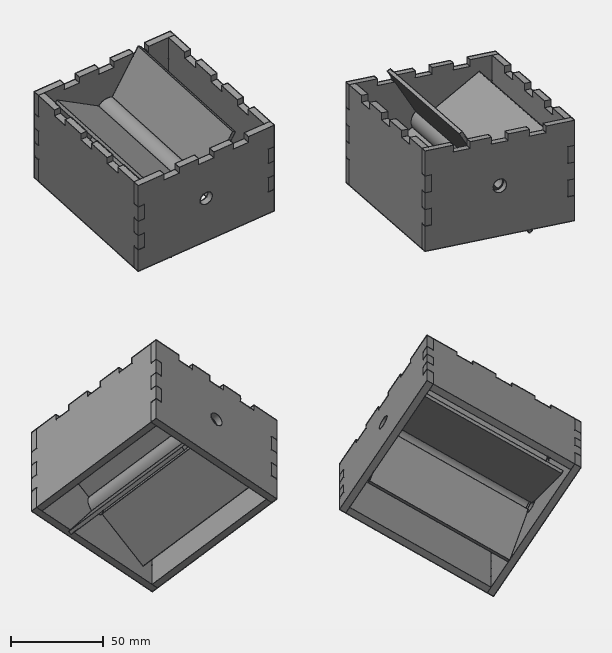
import cadquery as cq
import math

BOX_X = 98.0
BOX_Y = 90.0
BOX_Z = 60.0
PANEL = 4.0

SLOT = 10.0
FINGERS = 2
FINGER_PITCH = 2 * SLOT
FINGER_GAP = 0.2
NOTCHES = 3
END_PITCH = 24.8
SIDE_PITCH = 22.8

BORE_D = 8.0
HUB_D = 15.4
BLADES = 4
BLADE_ANGLE = 360 / BLADES
BLADE_THICK = 2.2
WHEEL_HEIGHT = 69.0
WHEEL_TILT = 58.1
WHEEL_GAP = 1.0

WHEEL_START = -BOX_X / 2 + PANEL + WHEEL_GAP
WHEEL_LENGTH = BOX_X - 2 * PANEL - WHEEL_GAP

tilt = math.radians(WHEEL_TILT)
BLADE_REACH = (WHEEL_HEIGHT / 2 - BLADE_THICK / 2 * math.cos(tilt)) / math.sin(tilt)


def spaced(count, pitch):
    """Positions of evenly spaced features centred on zero."""
    return [(i - (count - 1) / 2) * pitch for i in range(count)]


END_PANEL_Y = spaced(2, BOX_Y - PANEL)
SIDE_PANEL_X = spaced(2, BOX_X - PANEL)
FINGER_Z = spaced(FINGERS, FINGER_PITCH)
NOTCH_Z = (BOX_Z - PANEL) / 2


def block(size, place):
    """Box of the given size centred on the given place."""
    return cq.Workplane("XY").box(*size).translate(place)


def end_panel(y):
    """Panel in the XZ plane, with fingers reaching through the side panels."""
    panel = block((BOX_X - 2 * PANEL, PANEL, BOX_Z), (0, y, 0))
    for x in SIDE_PANEL_X:
        for z in FINGER_Z:
            gap = FINGER_GAP if z == FINGER_Z[0] else 0
            panel = panel.union(block((PANEL, PANEL, SLOT - gap), (x, y, z + gap / 2)))
    for x in spaced(NOTCHES, END_PITCH):
        panel = panel.cut(block((SLOT, PANEL, PANEL), (x, y, NOTCH_Z)))
    return panel


def side_panel(x):
    """Panel in the YZ plane, with an axle bore and slots for the end panels' fingers."""
    panel = block((PANEL, BOX_Y, BOX_Z), (x, 0, 0))
    panel = panel.faces(">X").workplane(origin=(x, 0, 0)).hole(BORE_D)
    for y in END_PANEL_Y:
        for z in FINGER_Z:
            panel = panel.cut(block((PANEL, PANEL, SLOT), (x, y, z)))
    for y in spaced(NOTCHES, SIDE_PITCH):
        panel = panel.cut(block((PANEL, SLOT, PANEL), (x, y, NOTCH_Z)))
    return panel


def turned(body, angle):
    """Body turned about the wheel axis by an angle in degrees."""
    return body.rotate((0, 0, 0), (1, 0, 0), angle)


def paddle_wheel():
    """Hub with flat radial blades, a through bore and one open quarter between two blades."""
    wheel = cq.Workplane("YZ").circle(HUB_D / 2).extrude(WHEEL_LENGTH)
    open_quarter = cq.Workplane("XY").box(WHEEL_LENGTH, HUB_D, HUB_D, centered=False)
    wheel = wheel.cut(turned(open_quarter, WHEEL_TILT + 2 * BLADE_ANGLE))

    blade = cq.Workplane("XY").box(
        WHEEL_LENGTH, BLADE_REACH, BLADE_THICK, centered=(False, False, True)
    )
    for i in range(BLADES):
        wheel = wheel.union(turned(blade, WHEEL_TILT + i * BLADE_ANGLE))

    bore = cq.Workplane("YZ").circle(BORE_D / 2).extrude(WHEEL_LENGTH)
    return wheel.cut(bore).translate((WHEEL_START, 0, 0))


end_panels = [end_panel(y) for y in END_PANEL_Y]
side_panels = [side_panel(x) for x in SIDE_PANEL_X]
wheel = paddle_wheel()

result = cq.Compound.makeCompound(
    [body.solids().val() for body in [*end_panels, *side_panels, wheel]]
)